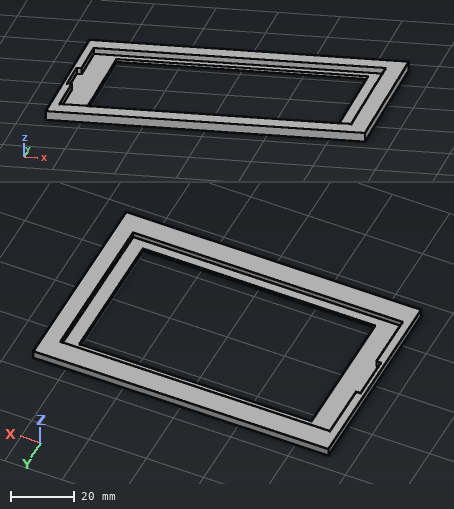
import cadquery as cq

length = 103.0
width = 69.0
thickness = 3.0

recess_length = 94.0
recess_width = 54.0
recess_depth = 2.0
recess_left_wall = 3.0

notch_reach = 1.5
notch_width = 15.0

window_length = 81.0
window_width = 47.2
window_left_border = 11.0

left_side = -length / 2
recess_left = left_side + recess_left_wall
recess_floor = thickness - recess_depth


def block(x_start, x_size, y_size, z_start, z_end):
    """Box centred on Y, starting at x_start and spanning z_start to z_end."""
    return (
        cq.Workplane("XY")
        .box(x_size, y_size, z_end - z_start, centered=(False, True, False))
        .translate((x_start, 0, z_start))
    )


plate = block(left_side, length, width, 0, thickness)
recess = block(recess_left, recess_length, recess_width, recess_floor, thickness)
notch = block(recess_left - notch_reach, notch_reach, notch_width, recess_floor, thickness)
window = block(left_side + window_left_border, window_length, window_width, 0, thickness)

result = plate.cut(recess).cut(notch).cut(window)